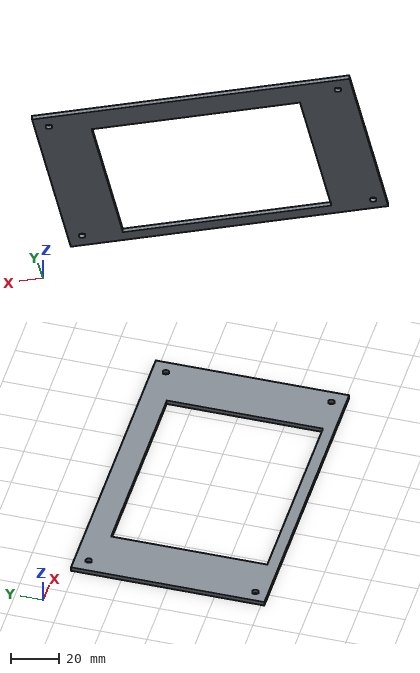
import cadquery as cq

plate_length = 134.0
plate_width = 83.0
plate_thickness = 2.0

window_side_margin = 23.0
window_front_margin = 5.0
window_back_margin = 11.0

hole_diameter = 2.7
hole_inset = 6.0
front_left_hole_inset = 5.25

half_length = plate_length / 2
half_width = plate_width / 2

hole_centers = [
    (-half_length + hole_inset, half_width - hole_inset),
    (half_length - hole_inset, half_width - hole_inset),
    (half_length - hole_inset, -half_width + hole_inset),
    (-half_length + front_left_hole_inset, -half_width + front_left_hole_inset),
]


def make_plate():
    return cq.Workplane("XY").box(plate_length, plate_width, plate_thickness, centered=(True, True, False))


def cut_window(plate):
    window_length = plate_length - 2 * window_side_margin
    window_width = plate_width - window_front_margin - window_back_margin
    window_center_y = (window_front_margin - window_back_margin) / 2
    window = (
        cq.Workplane("XY")
        .center(0, window_center_y)
        .rect(window_length, window_width)
        .extrude(plate_thickness)
    )
    return plate.cut(window)


def cut_corner_holes(plate):
    holes = (
        cq.Workplane("XY")
        .pushPoints(hole_centers)
        .circle(hole_diameter / 2)
        .extrude(plate_thickness)
    )
    return plate.cut(holes)


result = cut_corner_holes(cut_window(make_plate()))